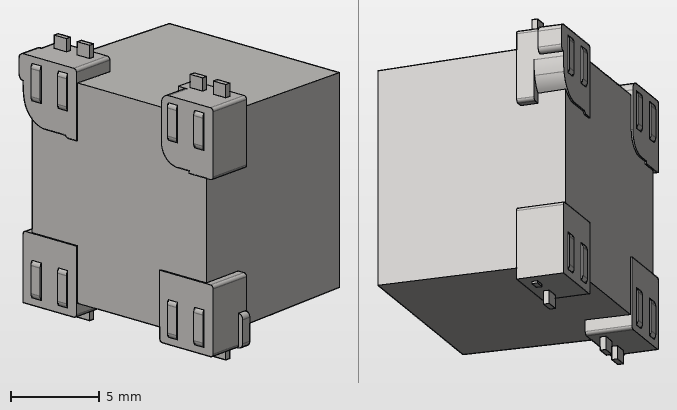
import cadquery as cq

BODY_FRONT_WIDTH = 13.2
BODY_BACK_WIDTH = 12.87
BODY_DEPTH = 11.55

BLOCK_INNER = 3.15
BLOCK_OUTER_X = 7.2
BLOCK_OUTER_Z = 7.45
BLOCK_FRONT = -0.1
BLOCK_BACK = 2.75
BLOCK_FILLET = 0.2

OVERALL_WIDTH = 15.0
TAB_OUTER_X = OVERALL_WIDTH / 2
TAB_RADIUS = 0.33
LEFT_TAB_BOTTOM = 5.84
LEFT_TAB_BACK = 1.32
RIGHT_TAB_TOP = -5.36
RIGHT_TAB_FRONT = 2.08
RIGHT_TAB_BACK = 2.69

ROUND_BOTTOM = 3.3
LEFT_ROUND_BACK = 1.7
LEFT_ROUND_TOP = 5.56
LEFT_ROUND_MIDDLE = (-7.1, 4.65)
LEFT_ROUND_END = -5.58
LEFT_STEP_START = -4.03
LEFT_STEP_END = -3.8
RIGHT_ROUND_BACK = 1.48
RIGHT_ROUND_INNER = 3.28
RIGHT_TOP_RADIUS = 0.55
RIGHT_BOTTOM_RADIUS = 1.24
RIGHT_STEP = 5.38

PIN_END = 8.25
PIN_WIDTH = 0.94
PIN_CENTRES = (6.02, 4.27)
PIN_FRONT = 1.77
PIN_BACK = 2.11
STUB_WIDTH = 0.7
STUB_END = 7.59

PAD_FRONT = -0.2
PAD_WIDTH = 0.7
PAD_LENGTH = 2.25
PAD_TOPS = (7.03, -4.77)
PAD_END_LENGTH = 0.28
PAD_CENTRES = (6.15, 4.15)


def box(x, y, z):
    """Box between the given (low, high) pairs, in any order."""
    size = [abs(b - a) for a, b in (x, y, z)]
    low = (min(x), min(y), min(z))
    return cq.Workplane("XY").box(*size, centered=False).translate(low)


def plane_at(y):
    """XZ sketch plane at depth y; extruding goes towards -Y."""
    return cq.Workplane("XZ", origin=(0, y, 0))


def corner(solid, x, z):
    """Edges running along Y through the point (x, z)."""
    gap = 0.02
    low = (x - gap, BLOCK_FRONT - gap, z - gap)
    high = (x + gap, BLOCK_BACK + gap, z + gap)
    return solid.edges("|Y").edges(cq.selectors.BoxSelector(low, high, boundingbox=True))


def make_body():
    return (
        plane_at(BODY_DEPTH)
        .rect(BODY_BACK_WIDTH, BODY_BACK_WIDTH)
        .workplane(offset=BODY_DEPTH)
        .rect(BODY_FRONT_WIDTH, BODY_FRONT_WIDTH)
        .loft(ruled=True)
    )


def make_block(side_x, side_z, rounded, front=BLOCK_FRONT):
    """Corner block in the quadrant (side_x, side_z), with the listed (x, z) corners filleted."""
    block = box(
        (side_x * BLOCK_INNER, side_x * BLOCK_OUTER_X),
        (front, BLOCK_BACK),
        (side_z * BLOCK_INNER, side_z * BLOCK_OUTER_Z),
    )
    for x, z in rounded:
        block = corner(block, side_x * x, side_z * z).fillet(BLOCK_FILLET)
    return block


def make_upper_left_block():
    back = make_block(
        -1, 1,
        [(BLOCK_OUTER_X, BLOCK_OUTER_Z), (BLOCK_OUTER_X, BLOCK_INNER), (BLOCK_INNER, BLOCK_OUTER_Z)],
        LEFT_ROUND_BACK,
    )
    front = (
        plane_at(LEFT_ROUND_BACK)
        .moveTo(-BLOCK_OUTER_X, BLOCK_OUTER_Z)
        .lineTo(-BLOCK_OUTER_X, LEFT_ROUND_TOP)
        .tangentArcPoint(LEFT_ROUND_MIDDLE, relative=False)
        .tangentArcPoint((LEFT_ROUND_END, ROUND_BOTTOM), relative=False)
        .lineTo(LEFT_STEP_START, ROUND_BOTTOM)
        .lineTo(LEFT_STEP_END, BLOCK_INNER)
        .lineTo(-BLOCK_INNER, BLOCK_INNER)
        .lineTo(-BLOCK_INNER, BLOCK_OUTER_Z)
        .close()
        .extrude(LEFT_ROUND_BACK - BLOCK_FRONT)
    )
    for x in (-BLOCK_OUTER_X, -BLOCK_INNER):
        front = corner(front, x, BLOCK_OUTER_Z).fillet(BLOCK_FILLET)
    tab = box(
        (-TAB_OUTER_X, -BLOCK_INNER - BLOCK_FILLET),
        (BLOCK_FRONT, LEFT_TAB_BACK),
        (LEFT_TAB_BOTTOM, BLOCK_OUTER_Z),
    )
    return back.union(front).union(tab.edges("|Y and <X").fillet(TAB_RADIUS))


def make_upper_right_block():
    rounded = [(BLOCK_OUTER_X, BLOCK_OUTER_Z), (BLOCK_OUTER_X, BLOCK_INNER)]
    back = make_block(1, 1, rounded, RIGHT_ROUND_BACK)
    front = (
        plane_at(RIGHT_ROUND_BACK)
        .moveTo(RIGHT_ROUND_INNER, BLOCK_OUTER_Z)
        .lineTo(RIGHT_ROUND_INNER, ROUND_BOTTOM)
        .lineTo(RIGHT_STEP, ROUND_BOTTOM)
        .lineTo(RIGHT_STEP, BLOCK_INNER)
        .lineTo(BLOCK_OUTER_X, BLOCK_INNER)
        .lineTo(BLOCK_OUTER_X, BLOCK_OUTER_Z)
        .close()
        .extrude(RIGHT_ROUND_BACK - BLOCK_FRONT)
    )
    for x, z in rounded:
        front = corner(front, x, z).fillet(BLOCK_FILLET)
    front = corner(front, RIGHT_ROUND_INNER, BLOCK_OUTER_Z).fillet(RIGHT_TOP_RADIUS)
    front = corner(front, RIGHT_ROUND_INNER, ROUND_BOTTOM).fillet(RIGHT_BOTTOM_RADIUS)
    return back.union(front)


def make_lower_right_block():
    block = make_block(
        1, -1,
        [(BLOCK_OUTER_X, BLOCK_OUTER_Z), (BLOCK_OUTER_X, BLOCK_INNER), (BLOCK_INNER, BLOCK_OUTER_Z)],
    )
    tab = box(
        (BLOCK_INNER + BLOCK_FILLET, TAB_OUTER_X),
        (RIGHT_TAB_FRONT, RIGHT_TAB_BACK),
        (-BLOCK_OUTER_Z, RIGHT_TAB_TOP),
    )
    return block.union(tab.edges("|Y and >X").fillet(TAB_RADIUS))


def make_pin(centre_x, width, end_z):
    """Flat pin running from inside a block out to end_z."""
    start_z = BLOCK_INNER if end_z > 0 else -BLOCK_INNER
    half = width / 2
    return box((centre_x - half, centre_x + half), (PIN_FRONT, PIN_BACK), (start_z, end_z))


def make_pad(centre_x, top_z):
    """Raised pad whose top and bottom ends curve back into the block face."""
    rise = BLOCK_FRONT - PAD_FRONT
    radius = (PAD_END_LENGTH**2 + rise**2) / (2 * rise)
    bottom_z = top_z - PAD_LENGTH
    return (
        cq.Workplane("YZ", origin=(centre_x - PAD_WIDTH / 2, 0, 0))
        .moveTo(0, bottom_z)
        .lineTo(BLOCK_FRONT, bottom_z)
        .radiusArc((PAD_FRONT, bottom_z + PAD_END_LENGTH), radius)
        .lineTo(PAD_FRONT, top_z - PAD_END_LENGTH)
        .radiusArc((BLOCK_FRONT, top_z), radius)
        .lineTo(0, top_z)
        .close()
        .extrude(PAD_WIDTH)
    )


lower_left_block = make_block(-1, -1, [(BLOCK_OUTER_X, BLOCK_INNER), (BLOCK_INNER, BLOCK_OUTER_Z)])

result = (
    make_body()
    .union(make_upper_left_block())
    .union(make_upper_right_block())
    .union(lower_left_block)
    .union(make_lower_right_block())
)

stub_x = STUB_WIDTH / 2 - PIN_CENTRES[0] - PIN_WIDTH / 2
result = result.union(make_pin(stub_x, STUB_WIDTH, -STUB_END))
for side_x in (-1, 1):
    for centre in PIN_CENTRES:
        result = result.union(make_pin(side_x * centre, PIN_WIDTH, PIN_END))
        if side_x > 0 or centre != PIN_CENTRES[0]:
            result = result.union(make_pin(side_x * centre, PIN_WIDTH, -PIN_END))

for side_x in (-1, 1):
    for centre in PAD_CENTRES:
        for top_z in PAD_TOPS:
            result = result.union(make_pad(side_x * centre, top_z))